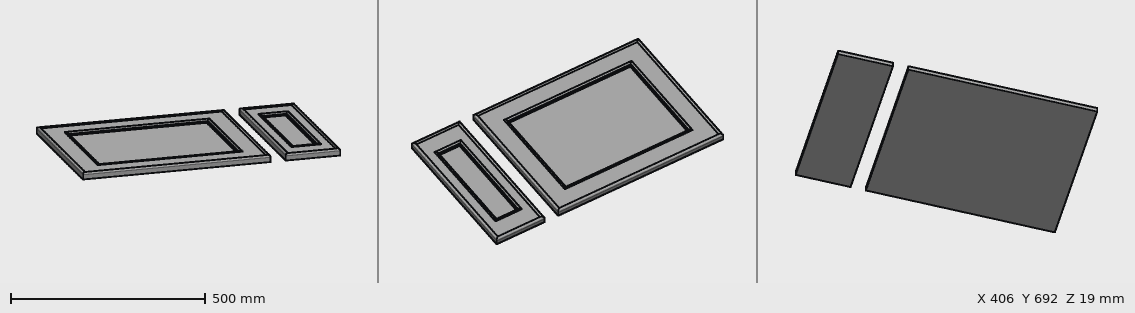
import cadquery as cq
import math

width = 406.0
total_length = 692.0
thickness = 19.0
door_length = 504.5
drawer_length = 147.0

side_frame_width = 57.5
door_end_frame_width = 57.5
drawer_end_frame_width = 33.0

outer_bead_radius = 5.0
face_depth = 3.0

inner_bead_width = 6.0
inner_bead_rise = 2.0
inner_bead_drop = 2.0

ledge_depth = 6.0
ledge_width = 2.0
slope_width = 2.0
panel_depth = 10.0

face_z = thickness - face_depth
ledge_z = thickness - ledge_depth
panel_z = thickness - panel_depth
outer_bead_width = outer_bead_radius + math.sqrt(outer_bead_radius**2 - (outer_bead_radius - face_depth) ** 2)


def sweep_ring(section, size_x, size_y):
    """Sweep an XZ section, drawn with x as the inset, around a centred rectangle with mitred corners."""
    half_x = size_x / 2
    half_y = size_y / 2
    section_plane = cq.Workplane("XZ", origin=(-half_x, 0, 0))
    path = cq.Workplane("XY").polyline([
        (-half_x, 0),
        (-half_x, half_y),
        (half_x, half_y),
        (half_x, -half_y),
        (-half_x, -half_y),
        (-half_x, 0),
    ])
    return section(section_plane).sweep(path, transition="right")


def slab(size_x, size_y, height):
    """Flat centred block standing on the back plane."""
    return cq.Workplane("XY").box(size_x, size_y, height, centered=(True, True, False))


def outer_bead_section(plane):
    """Full-height section of the rim, rounded over into the frame face."""
    return (
        plane
        .lineTo(0, thickness - outer_bead_radius)
        .threePointArc((outer_bead_radius, thickness), (outer_bead_width, face_z))
        .lineTo(outer_bead_width, 0)
        .close()
    )


def inner_moulding_section(plane):
    """Full-height section of the inner bead and the recess edge down to the panel."""
    ledge_end = inner_bead_width + ledge_width
    return (
        plane
        .lineTo(0, face_z)
        .threePointArc(
            (inner_bead_width / 2, face_z + inner_bead_rise),
            (inner_bead_width, face_z - inner_bead_drop),
        )
        .lineTo(inner_bead_width, ledge_z)
        .lineTo(ledge_end, ledge_z)
        .lineTo(ledge_end + slope_width, panel_z)
        .lineTo(ledge_end + slope_width, 0)
        .close()
    )


def panelled_front(length, end_frame_width, y_center):
    """One solid front: a moulded frame around a flat, recessed panel."""
    opening_x = width - 2 * side_frame_width
    opening_y = length - 2 * end_frame_width
    frame = slab(width - 2 * outer_bead_width, length - 2 * outer_bead_width, face_z)
    frame = frame.cut(slab(opening_x, opening_y, face_z))
    rim = sweep_ring(outer_bead_section, width, length)
    inner_moulding = sweep_ring(inner_moulding_section, opening_x, opening_y)
    panel = slab(opening_x, opening_y, panel_z)
    front = frame.union(rim).union(inner_moulding).union(panel).clean()
    return front.translate((0, y_center, 0))


door = panelled_front(door_length, door_end_frame_width, (door_length - total_length) / 2)
drawer_front = panelled_front(drawer_length, drawer_end_frame_width, (total_length - drawer_length) / 2)

result = cq.Compound.makeCompound([door.val(), drawer_front.val()])